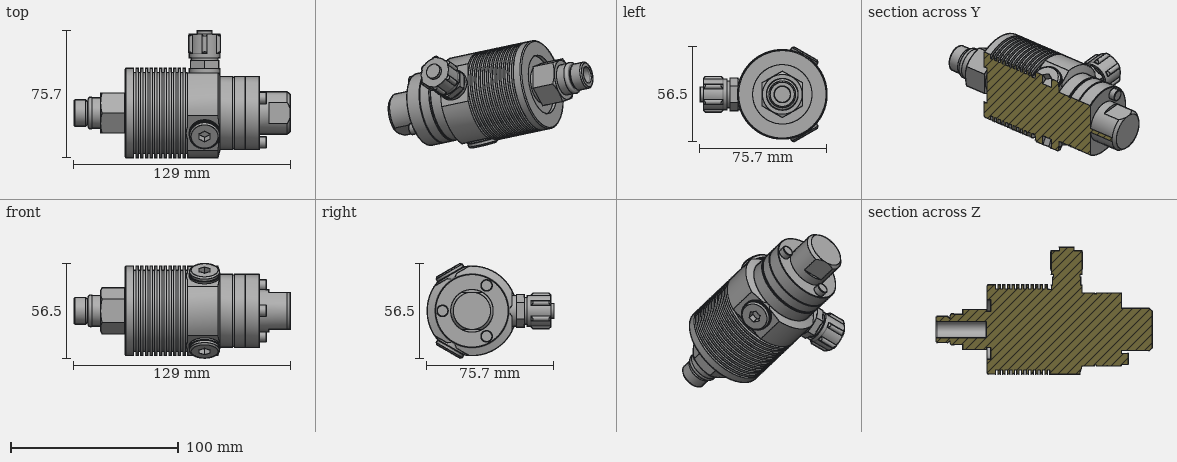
import cadquery as cq
import math


NOSE_D = 16.0
NOSE_CHAMFER = 0.8
NOSE_THREAD_LENGTH = 7.0
NOSE_RELIEF_D = 13.6
SEAL_RING_D = 19.0
SEAL_RING_START = 8.4
SEAL_RING_RADIUS = 1.6
SHOULDER_D = 18.4
BORE_D = 9.53
BORE_MOUTH_D = 10.0
BORE_MOUTH_DEPTH = 1.0
BORE_DEPTH = 30.0

HEX_START = 15.9
HEX_END = 30.2
HEX_ACROSS_FLATS = 24.0
HEX_FACE_D = 23.7
HEX_CHAMFER_ANGLE = 25.0
HEX_COLLAR_D = 21.8

BODY_D = 53.47
BODY_START = 30.4
BODY_CHAMFER = 0.7
FACE_RECESS_D = 35.4
FACE_RECESS_DEPTH = 2.2
GROOVE_FLOOR_D = 48.51
GROOVE_WIDTH = 1.3
GROOVE_PITCH = 2.8
GROOVE_COUNT = 12
FIRST_GROOVE_START = 35.65
BODY_CONE_START = 85.7
BODY_CONE_END = 87.1
BODY_CONE_END_D = 44.2

PORT_X = 77.85
PORT_COUNT = 3
FLAT_DISTANCE = 23.86
SPOTFACE_D = 21.9

SPIGOT_D = 43.6
COVER_D = 43.76
COVER_END = 110.7
COVER_CHAMFER = 0.3
WIDE_JOINT_X = 94.6
WIDE_JOINT_WIDTH = 1.0
WIDE_JOINT_DEPTH = 0.5
NARROW_JOINT_X = 101.8
NARROW_JOINT_WIDTH = 0.4
NARROW_JOINT_DEPTH = 0.3

SCREW_COUNT = 3
FIRST_SCREW_ANGLE = 180
SCREW_CIRCLE_R = 17.5
SCREW_HEAD_D = 6.86
SCREW_HEAD_HEIGHT = 4.0
SCREW_HEAD_CHAMFER = 0.3

STUB_END = 128.95
STUB_D = 25.4
STUB_END_D = 22.2
STUB_CHAMFER_LENGTH = 1.9
STUB_ACROSS_FLATS = 22.0
STUB_FLAT_START = 116.2

PLUG_SEAT_D = 18.4
PLUG_SEAT_TOP = 25.0
PLUG_NECK_D = 17.4
PLUG_HEAD_D = 18.0
PLUG_HEAD_BOTTOM = 25.3
PLUG_TOP = 28.0
PLUG_CHAMFER = 1.0
PLUG_SOCKET_ACROSS_FLATS = 6.35
PLUG_SOCKET_DEPTH = 5.4

FITTING_SEAT_D = 18.4
FITTING_SEAT_TOP = 26.4
FITTING_HEX_ACROSS_FLATS = 17.0
FITTING_HEX_TOP = 31.2
FITTING_NECK_D = 16.0
FITTING_NECK_TOP = 32.8
KNOB_D = 18.4
KNOB_RIBS_START = 35.3
KNOB_TOP = 46.95
KNOB_RIB_COUNT = 6
KNOB_RIB_RADIUS = 1.55
KNOB_RIB_TOP_R = 10.75
KNOB_RIB_CHAMFER = 1.2
TIP_D = 9.0
TIP_TOP = 49.0

HEX_SIDES = 6

OVERLAP = 2.0


def along_x(start, end, diameter):
    """Cylinder on the main axis from X = start to X = end."""
    return cq.Workplane("YZ").workplane(offset=start).circle(diameter / 2).extrude(end - start)


def along_y(bottom, top, diameter):
    """Cylinder pointing to +Y from Y = bottom to Y = top, centred on the port position."""
    plane = cq.Plane(origin=(PORT_X, bottom, 0), xDir=(1, 0, 0), normal=(0, 1, 0))
    return cq.Workplane(plane).circle(diameter / 2).extrude(top - bottom)


def hexagon_along_y(bottom, top, across_flats):
    """Hexagonal prism pointing to +Y with two of its flats facing -X and +X."""
    plane = cq.Plane(origin=(PORT_X, bottom, 0), xDir=(0, 0, 1), normal=(0, 1, 0))
    return cq.Workplane(plane).polygon(HEX_SIDES, across_corners(across_flats)).extrude(top - bottom)


def across_corners(across_flats):
    return across_flats / math.cos(math.pi / HEX_SIDES)


def turn_to_port(shape, index):
    """Move a shape built at the +Y port to another port."""
    return shape.rotate((0, 0, 0), (1, 0, 0), index * 360 / PORT_COUNT)


def turned(profile):
    """Solid of revolution about the main axis from a closed profile of (x, radius)."""
    return profile.revolve(360, (0, 0, 0), (1, 0, 0))


def ring_groove(start, width, outer_d, floor_d):
    """Ring to cut from a cylinder, leaving a groove of the given floor diameter."""
    ring = along_x(start, start + width, outer_d + OVERLAP)
    return ring.cut(along_x(start, start + width, floor_d))


def rotor_nose():
    """Turned nose: threaded end, relief, round seal ring and shoulder."""
    nose_r = NOSE_D / 2
    relief_r = NOSE_RELIEF_D / 2
    shoulder_r = SHOULDER_D / 2
    ring_r = SEAL_RING_D / 2
    relief_start = NOSE_THREAD_LENGTH + nose_r - relief_r
    ring_crest = SEAL_RING_START + SEAL_RING_RADIUS
    ring_centre_r = ring_r - SEAL_RING_RADIUS
    ring_end = ring_crest + math.sqrt(SEAL_RING_RADIUS**2 - (shoulder_r - ring_centre_r) ** 2)
    profile = (
        cq.Workplane("XY")
        .moveTo(0, 0)
        .lineTo(0, nose_r - NOSE_CHAMFER)
        .lineTo(NOSE_CHAMFER, nose_r)
        .lineTo(NOSE_THREAD_LENGTH, nose_r)
        .lineTo(relief_start, relief_r)
        .lineTo(SEAL_RING_START, relief_r)
        .lineTo(SEAL_RING_START, ring_centre_r)
        .threePointArc((ring_crest, ring_r), (ring_end, shoulder_r))
        .lineTo(HEX_START + OVERLAP, shoulder_r)
        .lineTo(HEX_START + OVERLAP, 0)
        .close()
    )
    return turned(profile)


def rotor_hex():
    """Hexagon with corners up and down and turned front corners, on a round collar."""
    corner_d = across_corners(HEX_ACROSS_FLATS)
    length = HEX_END - HEX_START
    hexagon = (
        cq.Workplane("YZ")
        .workplane(offset=HEX_START)
        .polygon(HEX_SIDES, corner_d)
        .extrude(length)
        .rotate((0, 0, 0), (1, 0, 0), 90)
    )
    face_r = HEX_FACE_D / 2
    outer_r = corner_d / 2 + OVERLAP
    cone_length = (outer_r - face_r) * math.tan(math.radians(HEX_CHAMFER_ANGLE))
    envelope = (
        cq.Workplane("XY")
        .moveTo(HEX_START, 0)
        .lineTo(HEX_START, face_r)
        .lineTo(HEX_START + cone_length, outer_r)
        .lineTo(HEX_END, outer_r)
        .lineTo(HEX_END, 0)
        .close()
    )
    collar = along_x(HEX_END, BODY_START + FACE_RECESS_DEPTH + OVERLAP, HEX_COLLAR_D)
    return hexagon.intersect(turned(envelope)).union(collar)


def rotor_bore():
    """Blind bore from the nose end with a slightly conical mouth."""
    profile = (
        cq.Workplane("XY")
        .moveTo(0, 0)
        .lineTo(0, BORE_MOUTH_D / 2)
        .lineTo(BORE_MOUTH_DEPTH, BORE_D / 2)
        .lineTo(BORE_DEPTH, BORE_D / 2)
        .lineTo(BORE_DEPTH, 0)
        .close()
    )
    return turned(profile)


def housing():
    """Finned body with a recessed front face, a conical rear end and flats at the ports."""
    body_r = BODY_D / 2
    profile = (
        cq.Workplane("XY")
        .moveTo(BODY_START, 0)
        .lineTo(BODY_START, body_r - BODY_CHAMFER)
        .lineTo(BODY_START + BODY_CHAMFER, body_r)
        .lineTo(BODY_CONE_START, body_r)
        .lineTo(BODY_CONE_END, BODY_CONE_END_D / 2)
        .lineTo(BODY_CONE_END, 0)
        .close()
    )
    body = turned(profile)
    body = body.cut(along_x(BODY_START, BODY_START + FACE_RECESS_DEPTH, FACE_RECESS_D))
    for index in range(GROOVE_COUNT):
        start = FIRST_GROOVE_START + index * GROOVE_PITCH
        body = body.cut(ring_groove(start, GROOVE_WIDTH, BODY_D, GROOVE_FLOOR_D))
    for index in range(PORT_COUNT):
        body = body.cut(turn_to_port(port_flat(), index))
    return body


def port_flat():
    """Material to remove above one port: a flat across the band and a round spotface."""
    band_start = FIRST_GROOVE_START + (GROOVE_COUNT - 1) * GROOVE_PITCH + GROOVE_WIDTH
    height = BODY_D / 2 - FLAT_DISTANCE + OVERLAP
    band_length = BODY_CONE_END - band_start
    flat = cq.Workplane("XY").box(band_length, height, BODY_D, centered=(False, False, True))
    flat = flat.translate((band_start, FLAT_DISTANCE, 0))
    return flat.union(along_y(FLAT_DISTANCE, FLAT_DISTANCE + height, SPOTFACE_D))


def end_cover():
    """Spigot and two-part cover with grooves along the joints."""
    wide_joint_end = WIDE_JOINT_X + WIDE_JOINT_WIDTH
    spigot = along_x(BODY_CONE_END - OVERLAP, WIDE_JOINT_X, SPIGOT_D)
    joint_core = along_x(WIDE_JOINT_X, wide_joint_end, COVER_D - 2 * WIDE_JOINT_DEPTH)
    cover = along_x(wide_joint_end, COVER_END, COVER_D).faces(">X").chamfer(COVER_CHAMFER)
    narrow_floor_d = COVER_D - 2 * NARROW_JOINT_DEPTH
    cover = cover.cut(ring_groove(NARROW_JOINT_X, NARROW_JOINT_WIDTH, COVER_D, narrow_floor_d))
    return spigot.union(joint_core).union(cover)


def cover_screws():
    """Cylindrical screw heads on the cover face, the first one at -Y."""
    return (
        cq.Workplane("YZ")
        .workplane(offset=COVER_END - OVERLAP)
        .polarArray(SCREW_CIRCLE_R, FIRST_SCREW_ANGLE, 360, SCREW_COUNT)
        .circle(SCREW_HEAD_D / 2)
        .extrude(OVERLAP + SCREW_HEAD_HEIGHT)
        .faces(">X")
        .chamfer(SCREW_HEAD_CHAMFER)
    )


def rear_stub():
    chamfer_depth = (STUB_D - STUB_END_D) / 2
    stub = along_x(COVER_END - OVERLAP, STUB_END, STUB_D)
    stub = stub.faces(">X").edges().chamfer(STUB_CHAMFER_LENGTH, chamfer_depth)
    flat_length = STUB_END - STUB_FLAT_START
    flat_centre_x = STUB_FLAT_START + flat_length / 2
    for side in (-1, 1):
        removed = cq.Workplane("XY").box(flat_length, STUB_D, STUB_D)
        flat_centre_z = side * (STUB_ACROSS_FLATS + STUB_D) / 2
        stub = stub.cut(removed.translate((flat_centre_x, 0, flat_centre_z)))
    return stub


def port_plug():
    """Screw plug with a sealing seat and a hexagon socket, built at the +Y port."""
    seat = along_y(FLAT_DISTANCE - OVERLAP, PLUG_SEAT_TOP, PLUG_SEAT_D)
    neck = along_y(PLUG_SEAT_TOP, PLUG_HEAD_BOTTOM, PLUG_NECK_D)
    head = along_y(PLUG_HEAD_BOTTOM, PLUG_TOP, PLUG_HEAD_D).faces(">Y").chamfer(PLUG_CHAMFER)
    return seat.union(neck).union(head)


def plug_socket():
    return hexagon_along_y(PLUG_TOP - PLUG_SOCKET_DEPTH, PLUG_TOP, PLUG_SOCKET_ACROSS_FLATS)


def knob_ribs():
    """Round ribs along the knob, with their ends chamfered by one turned envelope."""
    ribs = along_y(KNOB_RIBS_START, KNOB_TOP, KNOB_D)
    rib = along_y(KNOB_RIBS_START, KNOB_TOP, 2 * KNOB_RIB_RADIUS)
    rib = rib.translate((0, 0, KNOB_RIB_TOP_R - KNOB_RIB_RADIUS))
    for index in range(KNOB_RIB_COUNT):
        angle = index * 360 / KNOB_RIB_COUNT
        ribs = ribs.union(rib.rotate((PORT_X, 0, 0), (PORT_X, 1, 0), angle))
    envelope = along_y(KNOB_RIBS_START, KNOB_TOP, 2 * KNOB_RIB_TOP_R).faces("<Y or >Y")
    return ribs.intersect(envelope.chamfer(KNOB_RIB_CHAMFER))


def hose_fitting():
    seat = along_y(FLAT_DISTANCE - OVERLAP, FITTING_SEAT_TOP, FITTING_SEAT_D)
    hexagon = hexagon_along_y(FITTING_SEAT_TOP, FITTING_HEX_TOP, FITTING_HEX_ACROSS_FLATS)
    neck = along_y(FITTING_HEX_TOP, FITTING_NECK_TOP, FITTING_NECK_D)
    collar = along_y(FITTING_NECK_TOP, KNOB_RIBS_START, KNOB_D)
    tip = along_y(KNOB_TOP, TIP_TOP, TIP_D)
    return seat.union(hexagon).union(neck).union(collar).union(knob_ribs()).union(tip)


result = housing().union(end_cover()).union(cover_screws()).union(rear_stub())
result = result.union(rotor_hex()).union(rotor_nose()).cut(rotor_bore())
result = result.union(hose_fitting())
for port in range(1, PORT_COUNT):
    result = result.union(turn_to_port(port_plug(), port))
    result = result.cut(turn_to_port(plug_socket(), port))